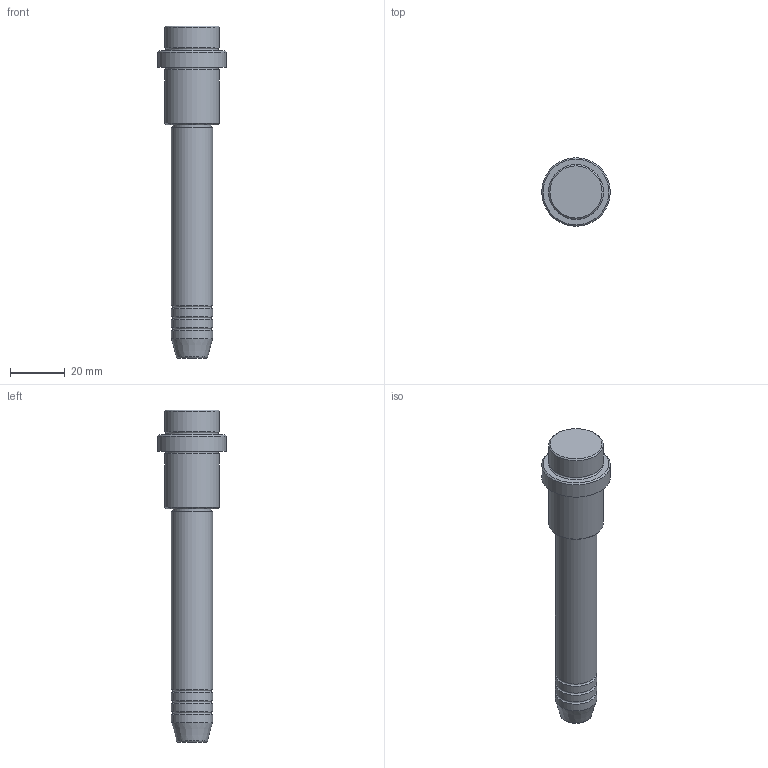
import cadquery as cq
import math

total_length = 121.0

head_radius = 10.0
head_length = 9.0
flange_radius = 12.5
flange_thickness = 6.0
collar_radius = head_radius
collar_length = 21.0
edge_chamfer = 0.5

pin_radius = 7.5
neck_radius = 7.0
neck_length = 1.0

taper_length = 7.0
taper_angle = math.radians(15)
tip_fillet = 0.5

groove_radius = 0.5
tip_groove_count = 3
tip_groove_pitch = 4.0
lowest_tip_groove_z = 10.5

flange_top = total_length - head_length
flange_bottom = flange_top - flange_thickness
collar_bottom = flange_bottom - collar_length
neck_bottom = collar_bottom - neck_length
tip_radius = pin_radius - taper_length * math.tan(taper_angle)


def revolve_about_z(section):
    return section.revolve(360, (0, 0), (0, 1))


def cylinder(radius, bottom, top):
    return cq.Workplane("XY").workplane(offset=bottom).circle(radius).extrude(top - bottom)


def make_head():
    return cylinder(head_radius, flange_top, total_length).faces(">Z").chamfer(edge_chamfer)


def make_flange():
    return cylinder(flange_radius, flange_bottom, flange_top).faces(">Z").chamfer(edge_chamfer)


def make_collar():
    return cylinder(collar_radius, collar_bottom, flange_bottom).faces("<Z").chamfer(edge_chamfer)


def make_pin():
    profile = [
        (0, 0),
        (tip_radius, 0),
        (pin_radius, taper_length),
        (pin_radius, neck_bottom),
        (neck_radius, neck_bottom),
        (neck_radius, collar_bottom),
        (0, collar_bottom),
    ]
    pin = revolve_about_z(cq.Workplane("XZ").polyline(profile).close())
    return pin.faces("<Z").edges().fillet(tip_fillet)


def ring_groove(surface_radius, middle_z):
    """Ring of round section to cut away, centered on a cylinder's surface."""
    section = cq.Workplane("XZ").center(surface_radius, middle_z).circle(groove_radius)
    return section.revolve(360, (-surface_radius, 0), (-surface_radius, 1))


head = make_head().cut(ring_groove(head_radius, flange_top + groove_radius))
collar = make_collar().cut(ring_groove(collar_radius, flange_bottom - groove_radius))

pin = make_pin()
for index in range(tip_groove_count):
    pin = pin.cut(ring_groove(pin_radius, lowest_tip_groove_z + index * tip_groove_pitch))

result = pin.union(collar).union(make_flange()).union(head)